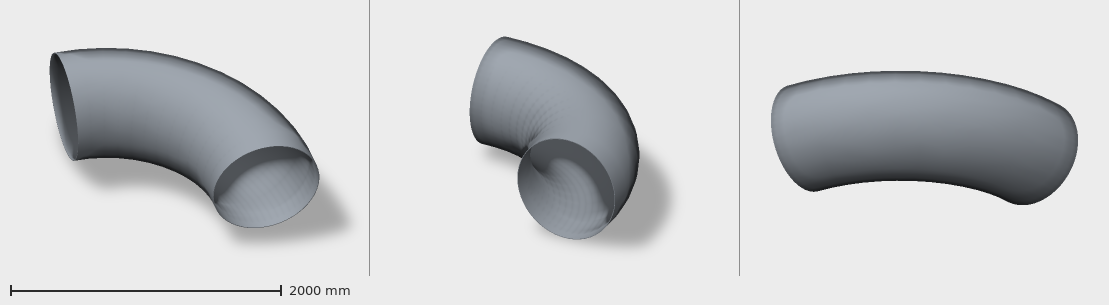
import cadquery as cq

outer_diameter = 813.0
wall_thickness = 5.0
bend_radius = 1.5 * outer_diameter
bend_angle = 90.0

outer_radius = outer_diameter / 2
inner_radius = outer_radius - wall_thickness

pipe_section = (
    cq.Workplane("XZ")
    .center(-bend_radius, 0)
    .circle(outer_radius)
    .circle(inner_radius)
)

result = pipe_section.revolve(
    bend_angle,
    axisStart=(bend_radius, 0, 0),
    axisEnd=(bend_radius, -1, 0),
)